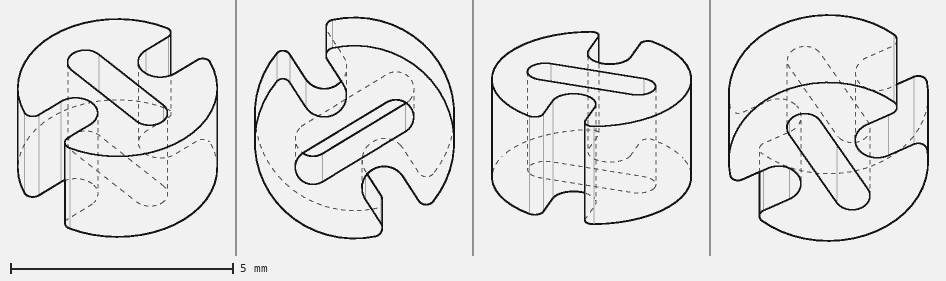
import cadquery as cq

diameter = 4.49
height = 2.5
notch_width = 0.995
notch_floor_back = 0.78
notch_floor_front = 0.76
tip_radius_back = 0.18
tip_radius_front = 0.2
slot_length = 3.0
slot_width = 0.8

notch_radius = notch_width / 2


def notch_cutter(floor_distance, side):
    """Round-floored notch open to the rim; side is +1 for +Y, -1 for -Y."""
    arc_y = side * (floor_distance + notch_radius)
    open_y = side * diameter
    return (
        cq.Workplane("XY")
        .moveTo(-notch_radius, open_y)
        .lineTo(-notch_radius, arc_y)
        .threePointArc((0, side * floor_distance), (notch_radius, arc_y))
        .lineTo(notch_radius, open_y)
        .close()
        .extrude(height)
    )


body = cq.Workplane("XY").circle(diameter / 2).extrude(height)
for floor_distance, side in ((notch_floor_back, 1), (notch_floor_front, -1)):
    body = body.cut(notch_cutter(floor_distance, side))

mouth_y = diameter * 0.4
for tip_radius, side in ((tip_radius_back, 1), (tip_radius_front, -1)):
    mouth_edges = cq.selectors.BoxSelector(
        (-diameter, side * mouth_y, 0), (diameter, side * diameter, height)
    )
    body = body.edges("|Z").edges(mouth_edges).fillet(tip_radius)

slot = cq.Workplane("XY").slot2D(slot_length, slot_width).extrude(height)
result = body.cut(slot)